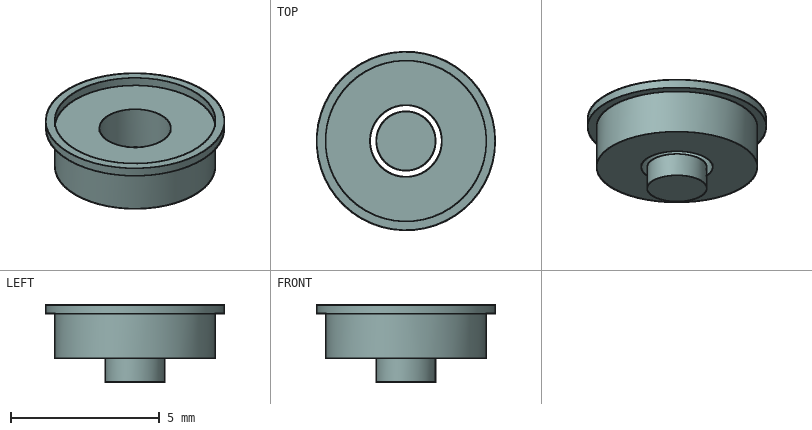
import cadquery as cq

ring_diameter = 6.0
ring_height = 0.3
body_diameter = 5.4
body_height = 1.5
bore_diameter = 2.4
pin_diameter = 2.0
pin_height = 0.8


def make_body():
    """Thick round disc with a central through bore, standing on Z = 0."""
    disc = cq.Workplane("XY").circle(body_diameter / 2)
    return disc.circle(bore_diameter / 2).extrude(body_height)


def make_ring():
    """Thin ring resting on the top edge of the body, open inside over the body's full width."""
    outline = cq.Workplane("XY").workplane(offset=body_height).circle(ring_diameter / 2)
    return outline.circle(body_diameter / 2).extrude(ring_height)


def make_pin():
    """Plain round pin hanging below the bore, its top level with the underside of the body."""
    return cq.Workplane("XY").circle(pin_diameter / 2).extrude(-pin_height)


body = make_body()
ring = make_ring()
pin = make_pin()

result = cq.Compound.makeCompound([body.val(), ring.val(), pin.val()])